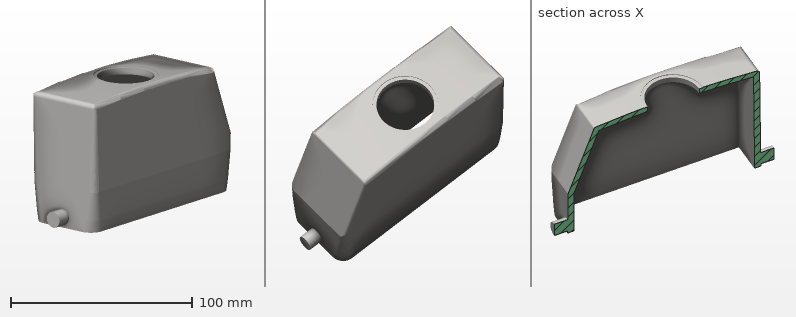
import cadquery as cq

overall_length = 136.0
overall_width = 45.5
half_width = overall_width / 2
height = 76.0
half_length = 59.8

foot_level = (0.0, 21.5, 7.5)
lower_level = (6.8, 22.0, 6.3)
waist_level = (23.5, half_width, 4.0)
crown_level = (height + 1.4, half_width, 1.5)
body_levels = (foot_level, lower_level, waist_level, crown_level)
end_draft = 0.01

roof_end_height = 73.7
slope_top_y = 43.2
roof_front_y = -half_length + end_draft * roof_end_height
roof_crown_y = (slope_top_y + roof_front_y) / 2
slope_base_height = 29.2
roof_edge_radius = 2.7
slope_edge_radius = 1.6

wall = 4.1

entry_y = -5.7
entry_diameter = 32.0
entry_rim_diameter = 36.0
entry_rim_depth = 0.5

pin_radius = 4.5
pin_height = 6.1


def rounded_section(level):
    """Sketch of the rounded rectangle at one body level."""
    z, half_x, radius = level
    half_y = half_length - end_draft * z
    section = cq.Sketch().rect(2 * half_x, 2 * half_y).vertices().fillet(radius)
    return section.moved(cq.Location(cq.Vector(0, 0, z)))


def tapered_band(lower, upper):
    """Straight-sided block between two body levels."""
    sections = (rounded_section(lower), rounded_section(upper))
    return cq.Workplane("XY").placeSketch(*sections).loft(ruled=True)


def side_profile(inset):
    """Prism across X that bounds the roof and slope, shrunk by the inset except at the base."""
    profile = (
        cq.Workplane("YZ", origin=(inset - half_width, 0, 0))
        .moveTo(-half_length, -inset)
        .lineTo(half_length, -inset)
        .lineTo(half_length, slope_base_height)
        .lineTo(slope_top_y, roof_end_height)
        .threePointArc((roof_crown_y, height), (roof_front_y, roof_end_height))
        .close()
    )
    if inset:
        profile = profile.offset2D(-inset, "intersection")
    return profile.extrude(2 * (half_width - inset))


def edge_rounded_profile():
    """Side profile prism with its crosswise edges rounded."""
    prism = side_profile(0)
    roof_front = cq.selectors.NearestToPointSelector((0, roof_front_y, roof_end_height))
    slope_top = cq.selectors.NearestToPointSelector((0, slope_top_y, roof_end_height))
    slope_base = cq.selectors.NearestToPointSelector((0, half_length, slope_base_height))
    prism = prism.edges("|X").edges(roof_front).fillet(roof_edge_radius)
    return prism.edges("|X").edges(slope_top + slope_base).fillet(slope_edge_radius)


def long_edges_rounded(middle, radius):
    """Side profile prism with one mirrored pair of long edges rounded; middle is their (y, z) centre."""
    prism = side_profile(0)
    left_edge, right_edge = (
        cq.selectors.NearestToPointSelector((side, *middle)) for side in (-half_width, half_width)
    )
    return prism.edges(left_edge + right_edge).fillet(radius)


def outer_body():
    """Tapered block with its roof, slope and rounded edges."""
    body = tapered_band(body_levels[0], body_levels[1])
    for lower, upper in zip(body_levels[1:], body_levels[2:]):
        body = body.union(tapered_band(lower, upper))
    slope_middle = ((slope_top_y + half_length) / 2, (roof_end_height + slope_base_height) / 2)
    body = body.intersect(edge_rounded_profile())
    body = body.intersect(long_edges_rounded((roof_crown_y, height), roof_edge_radius))
    return body.intersect(long_edges_rounded(slope_middle, slope_edge_radius))


def cable_entry():
    """Round opening through the roof with a shallow flat rim."""
    bore = cq.Workplane("XY").center(0, entry_y).circle(entry_diameter / 2).extrude(height)
    rim = (
        cq.Workplane("XY", origin=(0, entry_y, height - entry_rim_depth))
        .circle(entry_rim_diameter / 2)
        .extrude(entry_rim_depth)
    )
    return bore.union(rim)


def pin(direction):
    """Locking pin rooted inside the end wall on one side."""
    root_y = half_length - wall / 2
    return (
        cq.Workplane("XZ", origin=(0, direction * root_y, pin_height))
        .circle(pin_radius)
        .extrude(-direction * (overall_length / 2 - root_y))
    )


result = outer_body().cut(side_profile(wall)).cut(cable_entry())
for end in (-1, 1):
    result = result.union(pin(end))